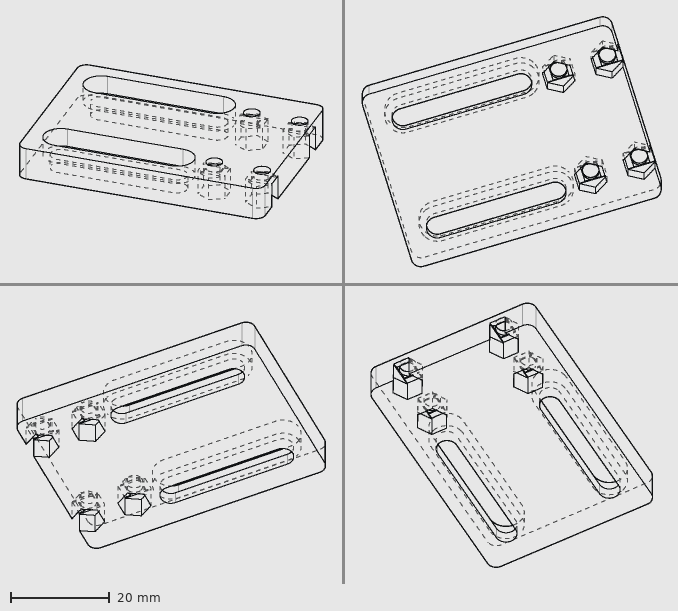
import cadquery as cq
import math

LENGTH = 52.85
WIDTH = 37.8
THICKNESS = 7.0
CORNER_RADIUS = 2.0

SLOT_TRAVEL = 25.0
SLOT_WIDTH = 4.4
SLOT_RECESS_WIDTH = 7.4
SLOT_RECESS_DEPTH = 4.0
SLOT_CENTER_X = 19.5
SLOT_SPACING = 23.8

HOLE_DIAMETER = 3.4
HOLE_RIGHT_X = 50.07
HOLE_SPACING_X = 10.32
HOLE_SPACING_Y = 22.2

NUT_ACROSS_FLATS = 5.85
NUT_POCKET_DEPTH = 5.0
STEP_HEIGHT = 0.3

LEFT_EDGE = -LENGTH / 2


def make_plate():
    """Rounded plate with its bottom face on Z = 0."""
    plate = cq.Workplane("XY").box(LENGTH, WIDTH, THICKNESS, centered=(True, True, False))
    return plate.edges("|Z").fillet(CORNER_RADIUS)


def slot_cutter(width, bottom_z, center_y):
    """Round-ended slot body reaching from bottom_z to the top face."""
    return (
        cq.Workplane("XY", origin=(LEFT_EDGE + SLOT_CENTER_X, center_y, bottom_z))
        .slot2D(SLOT_TRAVEL + width, width)
        .extrude(THICKNESS - bottom_z)
    )


def cut_slots(body):
    """Two through slots, each with a wider recess open at the top."""
    for center_y in (-SLOT_SPACING / 2, SLOT_SPACING / 2):
        body = body.cut(slot_cutter(SLOT_WIDTH, 0, center_y))
        body = body.cut(slot_cutter(SLOT_RECESS_WIDTH, THICKNESS - SLOT_RECESS_DEPTH, center_y))
    return body


def nut_hole_cutter():
    """Screw hole on the Z axis with a nut pocket, a bridging slot and a square step below it."""
    across_corners = NUT_ACROSS_FLATS / math.cos(math.pi / 6)
    pocket = (
        cq.Workplane("XY")
        .polygon(6, across_corners)
        .extrude(NUT_POCKET_DEPTH)
        .rotate((0, 0, 0), (0, 0, 1), 30)
    )
    bridge = (
        cq.Workplane("XY", origin=(0, 0, NUT_POCKET_DEPTH))
        .rect(NUT_ACROSS_FLATS, HOLE_DIAMETER)
        .extrude(STEP_HEIGHT)
    )
    square = (
        cq.Workplane("XY", origin=(0, 0, NUT_POCKET_DEPTH + STEP_HEIGHT))
        .rect(HOLE_DIAMETER, HOLE_DIAMETER)
        .extrude(STEP_HEIGHT)
    )
    hole = cq.Workplane("XY").circle(HOLE_DIAMETER / 2).extrude(THICKNESS)
    return pocket.union(bridge).union(square).union(hole)


def cut_nut_holes(body):
    """Four screw holes in a rectangle near the right edge."""
    right_x = LEFT_EDGE + HOLE_RIGHT_X
    cutter = nut_hole_cutter()
    for center_x in (right_x - HOLE_SPACING_X, right_x):
        for center_y in (-HOLE_SPACING_Y / 2, HOLE_SPACING_Y / 2):
            body = body.cut(cutter.translate((center_x, center_y, 0)))
    return body


result = cut_nut_holes(cut_slots(make_plate()))